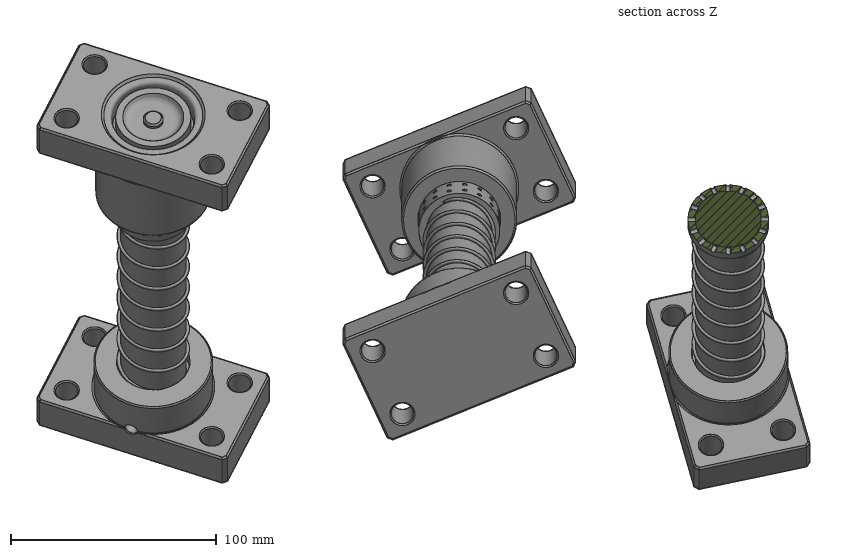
import cadquery as cq

total_height = 231.5
plate_thickness = 20.0
lower_plate_top = plate_thickness
upper_plate_bottom = total_height - plate_thickness
hub_top = 39.5
cage_bottom = 157.5
bushing_bottom = 171.5

plate_length = 100.0
plate_width = 58.1
plate_angle = 39.9
plate_corner_chamfer = 2.0
plate_edge_chamfer = 1.0
bolt_spacing_long = 76.2
bolt_spacing_short = 36.1
bolt_hole_diameter = 10.9
bolt_hole_chamfer = 0.7

pillar_radius = 16.0
hub_radius = 29.0
hub_edge_chamfer = 0.7
hub_seat_depth = 10.0
hub_bottom = lower_plate_top - hub_seat_depth
hub_seat_radius = 28.2
seat_chamfer = 1.6
locking_hole_diameter = 6.7
spring_pocket_radius = 17.8
spring_pocket_depth = 10.0

bushing_radius = 28.0
bushing_edge_chamfer = 1.0
collar_radius = hub_radius
collar_thickness = 1.0
spigot_radius = 24.0
spigot_bore_chamfer = 1.2
spigot_top = total_height - spigot_bore_chamfer
bushing_bore_radius = 20.1
bushing_bore_fillet = 1.9

cage_radius = 19.7
ball_hole_radius = 1.05
ball_holes_per_row = 16
ball_hole_first_angle = 4.0
ball_row_heights = [162.0, 169.5]

wire_radius = 0.8
spring_clearance = 0.05
spring_pitch = 16.0
coils_below_top = 8
top_coil_height = 155.8

washer_radius = 18.3
washer_top = total_height - 2.0
washer_thickness = 7.0
washer_bottom = washer_top - washer_thickness
dish_top_radius = 14.8
dish_middle_radius = 13.7
dish_floor_radius = 10.9
dish_middle_depth = 1.6
dish_depth = 2.8
dish_arc_radius = 4.0
stud_radius = 4.9
stud_height = 2.3
stud_chamfer = 1.0
stud_embedment = 14.0


def cylinder(radius, bottom, top):
    """Solid cylinder about the Z axis between two heights."""
    return cq.Workplane("XY").workplane(offset=bottom).circle(radius).extrude(top - bottom)


def cone(bottom_radius, top_radius, bottom, top):
    """Truncated solid cone about the Z axis between two heights."""
    return (
        cq.Workplane("XZ")
        .polyline([(0, bottom), (bottom_radius, bottom), (top_radius, top), (0, top)])
        .close()
        .revolve(360, (0, 0, 0), (0, 1, 0))
    )


def make_plate(bottom):
    """Chamfered rectangular plate with four chamfered bolt holes, turned about Z."""
    return (
        cq.Workplane("XY")
        .workplane(offset=bottom)
        .rect(plate_length, plate_width)
        .extrude(plate_thickness)
        .edges("|Z").chamfer(plate_corner_chamfer)
        .faces("<Z or >Z").edges().chamfer(plate_edge_chamfer)
        .faces(">Z").workplane(origin=(0, 0, bottom + plate_thickness))
        .rect(bolt_spacing_long, bolt_spacing_short, forConstruction=True)
        .vertices()
        .hole(bolt_hole_diameter)
        .edges("%CIRCLE").chamfer(bolt_hole_chamfer)
        .rotate((0, 0, 0), (0, 0, 1), plate_angle)
    )


def make_locking_hole():
    """Cutter for the radial hole that enters at the plate's long side and ends on the pillar."""
    return (
        cq.Workplane("XZ", origin=(0, 0, lower_plate_top))
        .circle(locking_hole_diameter / 2)
        .extrude(plate_width)
        .rotate((0, 0, 0), (0, 0, 1), plate_angle)
    )


def make_lower_plate():
    """Plate with a chamfered round seat for the hub."""
    seat = cylinder(hub_seat_radius, hub_bottom, lower_plate_top)
    rim_bottom = lower_plate_top - seat_chamfer
    seat_rim = cone(hub_seat_radius, hub_seat_radius + seat_chamfer, rim_bottom, lower_plate_top)
    return make_plate(0).cut(make_locking_hole()).cut(seat).cut(seat_rim)


def make_upper_plate():
    """Plate with a bore for the bushing spigot, chamfered at the top."""
    bore = cylinder(spigot_radius, upper_plate_bottom, total_height)
    bore_rim = cone(spigot_radius, spigot_radius + spigot_bore_chamfer, spigot_top, total_height)
    return make_plate(upper_plate_bottom).cut(bore).cut(bore_rim)


def make_hub():
    """Ring around the pillar's foot, with a pocket that takes the spring's lower end."""
    hub = cylinder(hub_radius, lower_plate_top, hub_top).faces(">Z").edges().chamfer(hub_edge_chamfer)
    hub = hub.union(cylinder(hub_seat_radius, hub_bottom, lower_plate_top))
    hub = hub.cut(cylinder(pillar_radius, hub_bottom, hub_top))
    hub = hub.cut(cylinder(spring_pocket_radius, hub_top - spring_pocket_depth, hub_top))
    return hub.cut(make_locking_hole())


def make_bushing():
    """Sleeve that flares to a thin collar under the upper plate, with a spigot inside that plate."""
    body = cylinder(bushing_radius, bushing_bottom, upper_plate_bottom)
    body = body.faces("<Z").edges().chamfer(bushing_edge_chamfer)
    collar_bottom = upper_plate_bottom - collar_thickness
    body = body.union(cone(bushing_radius, collar_radius, collar_bottom, upper_plate_bottom))
    body = body.union(cylinder(spigot_radius, upper_plate_bottom, spigot_top))
    body = body.cut(cylinder(bushing_bore_radius, bushing_bottom, spigot_top))
    bore_rim = cq.selectors.RadiusNthSelector(0)
    return body.faces(">Z").edges(bore_rim).fillet(bushing_bore_fillet)


def make_cage():
    """Tube running on the pillar with rows of radial ball holes."""
    cage = cylinder(cage_radius, cage_bottom, washer_bottom)
    cage = cage.cut(cylinder(pillar_radius, cage_bottom, washer_bottom))
    for height in ball_row_heights:
        for index in range(ball_holes_per_row):
            angle = ball_hole_first_angle + index * 360 / ball_holes_per_row
            hole = (
                cq.Workplane("YZ", origin=(0, 0, height))
                .circle(ball_hole_radius)
                .extrude(bushing_radius)
                .rotate((0, 0, 0), (0, 0, 1), angle)
            )
            cage = cage.cut(hole)
    return cage


def make_spring():
    """Left-handed coil with both ends ground flat on the pocket floor and the cage."""
    floor = hub_top - spring_pocket_depth
    coil_radius = pillar_radius + spring_clearance + wire_radius
    start = top_coil_height - coils_below_top * spring_pitch
    turns = coils_below_top + 1
    path = cq.Wire.makeHelix(spring_pitch, turns * spring_pitch, coil_radius, lefthand=True)
    wire = (
        cq.Workplane("XZ", origin=(coil_radius, 0, 0))
        .circle(wire_radius)
        .sweep(cq.Workplane(obj=path), isFrenet=True)
        .rotate((0, 0, 0), (0, 0, 1), 180)
        .translate((0, 0, start))
    )
    return wire.intersect(cylinder(bushing_radius, floor, cage_bottom))


def make_stud():
    """Chamfered stud standing proud of the dish floor and set into the pillar."""
    top = washer_top - dish_depth + stud_height
    stud = cylinder(stud_radius, washer_bottom - stud_embedment, top)
    return stud.faces(">Z").edges().chamfer(stud_chamfer)


def make_washer():
    """Stop washer with a dished top."""
    dish = (
        cq.Workplane("XZ")
        .moveTo(0, washer_top)
        .lineTo(dish_top_radius, washer_top)
        .lineTo(dish_middle_radius, washer_top - dish_middle_depth)
        .radiusArc((dish_floor_radius, washer_top - dish_depth), dish_arc_radius)
        .lineTo(0, washer_top - dish_depth)
        .close()
        .revolve(360, (0, 0, 0), (0, 1, 0))
    )
    return cylinder(washer_radius, washer_bottom, washer_top).cut(dish).cut(make_stud())


def make_pillar():
    return cylinder(pillar_radius, hub_bottom, washer_bottom).cut(make_stud())


lower_plate = make_lower_plate()
upper_plate = make_upper_plate()
hub = make_hub()
bushing = make_bushing()
cage = make_cage()
spring = make_spring()
washer = make_washer()
stud = make_stud()
pillar = make_pillar()

bodies = [lower_plate, upper_plate, hub, bushing, cage, spring, washer, stud, pillar]
result = cq.Compound.makeCompound([body.val() for body in bodies])